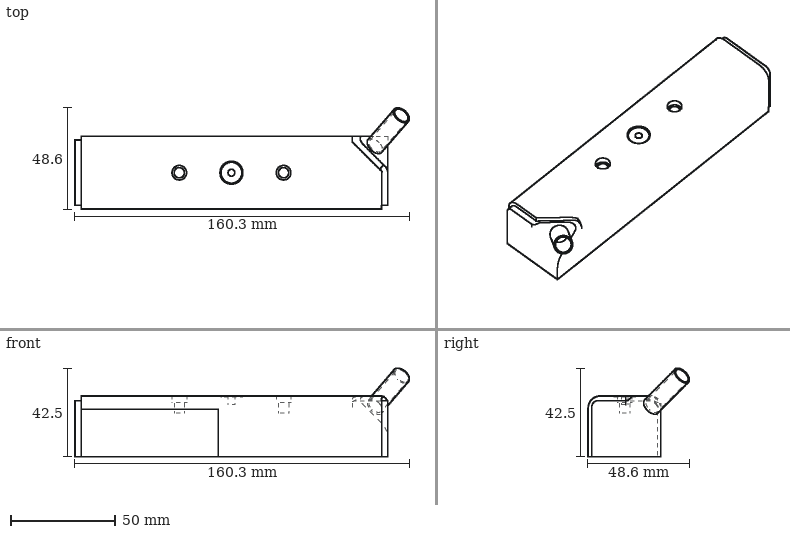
import cadquery as cq
import math

LENGTH = 150.0
CAP_THICKNESS = 3.0
BODY_WIDTH = 35.0
BODY_HEIGHT = 29.25
BODY_EDGE_RADIUS = 6.0
SIDE_INSET = 1.8
TOP_INSET = 2.25
CORE_EDGE_RADIUS = 3.2
BACK_Y = BODY_WIDTH / 2
FRONT_Y = -BODY_WIDTH / 2
CORE_WIDTH = BODY_WIDTH - 2 * SIDE_INSET
CORE_HEIGHT = BODY_HEIGHT - TOP_INSET
CLEARANCE = 1.0

LABEL_END_X = 68.7
LABEL_HEIGHT = 22.9
LABEL_DEPTH = 0.2

CORNER_SIZE = 17.0
CORNER_X = LENGTH - CORNER_SIZE
CORNER_Y = BACK_Y - CORNER_SIZE
RAMP_FOOT_SUM = 147.7
RAMP_RISE = 2.0
RAMP_CREST_SUM = RAMP_FOOT_SUM + 2 * RAMP_RISE
TOE_RADIUS = 3.0
TOE_SLOPE = math.radians(45)
CORNER_END_RADIUS = 7.0
CORNER_BACK_RADIUS = 3.0

SLEEVE_DIAMETER = 9.0
SLEEVE_BORE = 7.5
SLEEVE_AZIMUTH = math.radians(49.1)
SLEEVE_ELEVATION = math.radians(37.3)
SLEEVE_TIP = cq.Vector(156.47, 27.53, 38.96)
SLEEVE_LENGTH = 30.0
BORE_DEPTH = 24.0

CENTRE_X = LENGTH / 2
SCREW_OFFSET = 25.0
SCREW_HEAD_DIAMETER = 7.0
SCREW_HEAD_DEPTH = 3.0
SCREW_HOLE_DIAMETER = 4.92
SCREW_HOLE_DEPTH = 8.0
BUTTON_RIM_DIAMETER = 11.0
BUTTON_DIAMETER = 10.0
BUTTON_DEPTH = 0.5
BUTTON_HOLE_DIAMETER = 3.3
BUTTON_HOLE_DEPTH = 4.0


def rounded_bar(start, end, width, height, radius):
    """Bar along X, flat below, with both top edges rounded."""
    bar = cq.Workplane("XY").box(end - start, width, height, centered=(False, True, False))
    return bar.edges("|X and >Z").fillet(radius).translate((start, 0, 0))


def label_recess():
    """Thin slab taken off the front side."""
    slab = cq.Workplane("XY").box(LABEL_END_X, LABEL_DEPTH, LABEL_HEIGHT, centered=False)
    return slab.translate((0, FRONT_Y, 0))


def corner_opening():
    """Vertical prism that opens the body above the cable corner, up to the foot of the ramp."""
    outline = [
        (CORNER_X, BACK_Y + CLEARANCE),
        (CORNER_X, RAMP_FOOT_SUM - CORNER_X),
        (RAMP_FOOT_SUM - CORNER_Y, CORNER_Y),
        (LENGTH + CLEARANCE, CORNER_Y),
        (LENGTH + CLEARANCE, BACK_Y + CLEARANCE),
    ]
    return cq.Workplane("XY").polyline(outline).close().extrude(BODY_HEIGHT + CLEARANCE)


def corner_wedge():
    """Ramp and inclined face, drawn in the upright plane along (1, 1, 0) and carried across the corner."""
    far_sum = LENGTH + BACK_Y
    crest_z = CORE_HEIGHT + RAMP_RISE
    far_z = crest_z - (far_sum - RAMP_CREST_SUM)
    profile = [
        (RAMP_FOOT_SUM, 0),
        (RAMP_FOOT_SUM, CORE_HEIGHT),
        (RAMP_CREST_SUM, crest_z),
        (far_sum, far_z),
        (far_sum, 0),
    ]
    along_diagonal = [(xy_sum / math.sqrt(2), z) for xy_sum, z in profile]
    upright = cq.Plane(origin=(0, 0, 0), xDir=(1, 1, 0), normal=(1, -1, 0))
    return cq.Workplane(upright).polyline(along_diagonal).close().extrude(LENGTH)


def toe_point(angle):
    """Point (y, z) on the concave toe where its surface has risen to the given angle."""
    y = CORNER_Y + TOE_RADIUS * math.sin(angle)
    z = CORE_HEIGHT + TOE_RADIUS * (1 - math.cos(angle))
    return y, z


def corner_limits():
    """Upright bar along X that bounds the corner, with a concave toe where the ramp meets the end cap."""
    toe_middle = toe_point(TOE_SLOPE / 2)
    toe_end = toe_point(TOE_SLOPE)
    top_y = toe_end[0] + (BODY_HEIGHT - toe_end[1]) / math.tan(TOE_SLOPE)
    section = (
        cq.Workplane("YZ", origin=(CORNER_X, 0, 0))
        .moveTo(CORNER_Y, 0)
        .lineTo(CORNER_Y, CORE_HEIGHT)
        .threePointArc(toe_middle, toe_end)
        .lineTo(top_y, BODY_HEIGHT)
        .lineTo(BACK_Y, BODY_HEIGHT)
        .lineTo(BACK_Y, 0)
        .close()
    )
    return section.extrude(CORNER_SIZE)


def cable_corner():
    """Cable corner, rounded where the ramp meets the back and where the inclined face meets the end."""
    bounds = cq.Workplane("XY").box(LENGTH, BODY_WIDTH, 2 * BODY_HEIGHT)
    wedge = corner_wedge().intersect(bounds.translate((LENGTH / 2, 0, 0)))
    end_edge = cq.selectors.ParallelDirSelector(cq.Vector(0, 1, -1))
    wedge = wedge.faces(">X").edges(end_edge).fillet(CORNER_END_RADIUS)
    back_edge = cq.selectors.ParallelDirSelector(cq.Vector(2, 0, 1))
    wedge = wedge.faces(">Y").edges(back_edge).fillet(CORNER_BACK_RADIUS)
    return wedge.intersect(corner_limits())


def sleeve_cylinder(diameter, length):
    """Cylinder running from the sleeve tip back toward the housing."""
    inward = cq.Vector(
        -math.cos(SLEEVE_ELEVATION) * math.cos(SLEEVE_AZIMUTH),
        -math.cos(SLEEVE_ELEVATION) * math.sin(SLEEVE_AZIMUTH),
        -math.sin(SLEEVE_ELEVATION),
    )
    return cq.Workplane(cq.Solid.makeCylinder(diameter / 2, length, SLEEVE_TIP, inward))


def add_top_holes(part):
    """Two counterbored screw holes with a cone-rimmed button recess and its small hole between them."""
    top = cq.Workplane("XY", origin=(CENTRE_X, 0, BODY_HEIGHT))
    screws = top.pushPoints([(-SCREW_OFFSET, 0), (SCREW_OFFSET, 0)])
    heads = screws.circle(SCREW_HEAD_DIAMETER / 2).extrude(-SCREW_HEAD_DEPTH)
    holes = screws.circle(SCREW_HOLE_DIAMETER / 2).extrude(-SCREW_HOLE_DEPTH)
    button = (
        top.circle(BUTTON_RIM_DIAMETER / 2)
        .workplane(offset=-BUTTON_DEPTH)
        .circle(BUTTON_DIAMETER / 2)
        .loft()
    )
    button_hole = top.circle(BUTTON_HOLE_DIAMETER / 2).extrude(-BUTTON_HOLE_DEPTH)
    return part.cut(heads).cut(holes).cut(button).cut(button_hole)


body = rounded_bar(CAP_THICKNESS, LENGTH - CAP_THICKNESS, BODY_WIDTH, BODY_HEIGHT, BODY_EDGE_RADIUS)
core = rounded_bar(0, LENGTH, CORE_WIDTH, CORE_HEIGHT, CORE_EDGE_RADIUS)
housing = body.cut(label_recess()).union(core).cut(corner_opening()).union(cable_corner())
sleeved = housing.union(sleeve_cylinder(SLEEVE_DIAMETER, SLEEVE_LENGTH))
sleeved = sleeved.cut(sleeve_cylinder(SLEEVE_BORE, BORE_DEPTH))
result = add_top_holes(sleeved)